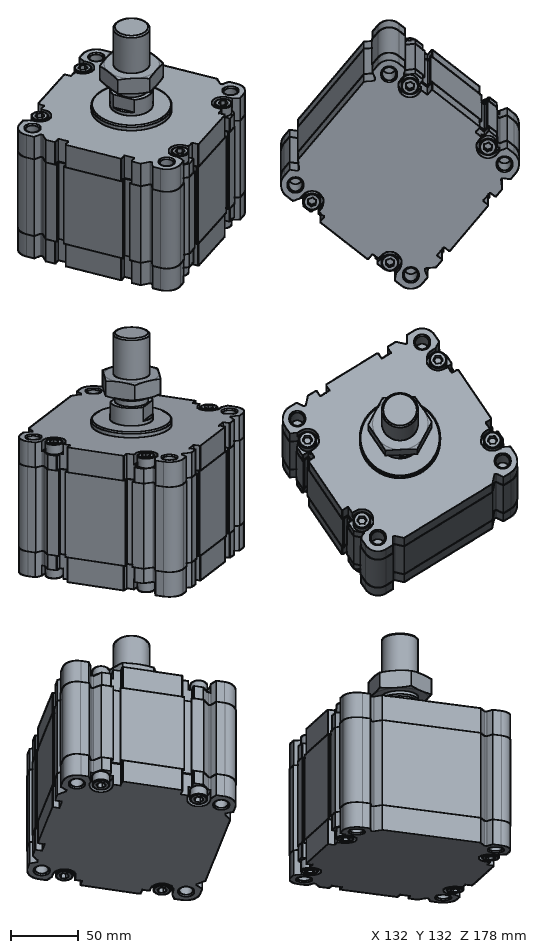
import cadquery as cq
import math


TOTAL_HEIGHT = 178.0
HOUSING_HEIGHT = 106.0
CAP_HEIGHT = 19.5
BOSS_TOP = 110.4

HOUSING_SIDE = 132.0
CORNER_RADIUS = 11.0
CAP_INSET = 0.2
NOTCH_START = 17.6
NOTCH_FLOOR_START = 20.6
NOTCH_FLOOR_END = 21.9
NOTCH_END = 27.0
NOTCH_DEPTH = 5.3
NOTCH_FILLET = 0.5

SLOT_OFFSET = 27.0
TUBE_SLOT_MOUTH = 5.5
TUBE_SLOT_WIDTH = 6.8
TUBE_SLOT_DEPTH = 4.5
TUBE_SLOT_LIP = 1.5
CAP_SLOT_WIDTH = 8.2
CAP_SLOT_DEPTH = 5.5
CAP_SLOT_CHAMFER = 0.5

SCREW_X = 57.5
SCREW_Y = 37.2
POCKET_DIAMETER = 17.0
POCKET_DEPTH = 8.0
SCREW_HEAD_DIAMETER = 13.0
SCREW_HEAD_CHAMFER = 0.7
HEX_SOCKET_FLATS = 6.0
HEX_SOCKET_DEPTH = 5.0
MOUNT_HOLE_OFFSET = 55.0
MOUNT_HOLE_DIAMETER = 10.1
MOUNT_HOLE_CHAMFER = 1.0

BOSS_DIAMETER = 60.0
BOSS_CHAMFER_HEIGHT = 1.2
BOSS_CHAMFER_WIDTH = 0.9

ROD_DIAMETER = 32.0
ROD_SHOULDER_TOP = 124.2
FLATS_BOTTOM = 113.2
FLATS_WIDTH = 26.9
NECK_DIAMETER = 25.0
THREAD_DIAMETER = 27.0
THREAD_START = 128.5
THREAD_CHAMFER = 1.2

NUT_BOTTOM = 132.3
NUT_HEIGHT = 13.5
NUT_FLATS = 41.0
NUT_CHAMFER_ANGLE = 15.0

HALF_SIDE = HOUSING_SIDE / 2
SIGNS = (1, -1)


def across_corners(flats):
    """Corner-to-corner size of a hexagon with the given width across flats."""
    return flats / math.cos(math.radians(30))


def pointed_hexagon(flats, height):
    """Hexagonal prism on Z = 0 with two corners on the Y axis."""
    prism = cq.Workplane("XY").polygon(6, across_corners(flats)).extrude(height)
    return prism.rotate((0, 0, 0), (0, 0, 1), 90)



def notch_points(inset):
    """One side notch as (distance from middle of side, distance from axis), in order along the side."""
    face = HALF_SIDE - inset
    floor = face - NOTCH_DEPTH
    return [
        (HALF_SIDE - NOTCH_END - inset, face),
        (HALF_SIDE - NOTCH_FLOOR_END - inset, floor),
        (HALF_SIDE - NOTCH_FLOOR_START + inset, floor),
        (HALF_SIDE - NOTCH_START + inset, face),
    ]


def notched_block(inset, height):
    """Square block with rounded corners and two notches near the ends of every side."""
    side = HOUSING_SIDE - 2 * inset
    block = cq.Workplane("XY").rect(side, side).extrude(height).edges("|Z").fillet(CORNER_RADIUS)
    notch = cq.Workplane("XY").polyline(notch_points(inset)).close().extrude(height)
    notch = notch.edges("|Z").edges("<Y").fillet(NOTCH_FILLET)
    for side_notch in (notch, notch.mirror("YZ")):
        for quarter in range(4):
            block = block.cut(side_notch.rotate((0, 0, 0), (0, 0, 1), 90 * quarter))
    return block


def tube_slot():
    """T-slot cutter opening toward +Y, standing on Z = 0."""
    half_mouth = TUBE_SLOT_MOUTH / 2
    half_width = TUBE_SLOT_WIDTH / 2
    lip = HALF_SIDE - TUBE_SLOT_LIP
    floor = HALF_SIDE - TUBE_SLOT_DEPTH
    outline = [
        (half_mouth, HALF_SIDE), (half_mouth, lip), (half_width, lip), (half_width, floor),
        (-half_width, floor), (-half_width, lip), (-half_mouth, lip), (-half_mouth, HALF_SIDE),
    ]
    return cq.Workplane("XY").polyline(outline).close().extrude(HOUSING_HEIGHT - 2 * CAP_HEIGHT)


def cap_slot():
    """Plain slot cutter with a chamfered mouth opening toward +Y, standing on Z = 0."""
    half_width = CAP_SLOT_WIDTH / 2
    half_mouth = half_width + CAP_SLOT_CHAMFER
    face = HALF_SIDE - CAP_INSET
    shoulder = face - CAP_SLOT_CHAMFER
    floor = HALF_SIDE - CAP_SLOT_DEPTH
    outline = [
        (half_mouth, face), (half_width, shoulder), (half_width, floor),
        (-half_width, floor), (-half_width, shoulder), (-half_mouth, face),
    ]
    return cq.Workplane("XY").polyline(outline).close().extrude(CAP_HEIGHT)


def cut_slots(block, slot):
    """Cut two slots each into the -Y, -X and +X sides; the +Y side stays plain."""
    for turn in (90, 180, 270):
        for sign in SIGNS:
            cutter = slot.translate((sign * SLOT_OFFSET, 0, 0)).rotate((0, 0, 0), (0, 0, 1), turn)
            block = block.cut(cutter)
    return block


def screw_pocket():
    """Round-ended pocket open toward +X, at the +X +Y screw of a cap."""
    floor = CAP_HEIGHT - POCKET_DEPTH
    bore = cq.Workplane("XY").circle(POCKET_DIAMETER / 2).extrude(POCKET_DEPTH)
    opening_length = HALF_SIDE - SCREW_X
    opening = cq.Workplane("XY").rect(opening_length, POCKET_DIAMETER).extrude(POCKET_DEPTH)
    opening = opening.translate((opening_length / 2, 0, 0))
    return bore.union(opening).translate((SCREW_X, SCREW_Y, floor))


def screw_head():
    """Socket head standing on the pocket floor of the +X +Y screw of a cap."""
    head = cq.Workplane("XY").circle(SCREW_HEAD_DIAMETER / 2).extrude(POCKET_DEPTH)
    head = head.faces(">Z").chamfer(SCREW_HEAD_CHAMFER)
    socket = pointed_hexagon(HEX_SOCKET_FLATS, HEX_SOCKET_DEPTH)
    head = head.cut(socket.translate((0, 0, POCKET_DEPTH - HEX_SOCKET_DEPTH)))
    return head.translate((SCREW_X, SCREW_Y, CAP_HEIGHT - POCKET_DEPTH))


def four_fold(shape):
    """The shape and its mirror images, one for each quadrant."""
    pair = [shape, shape.mirror("YZ")]
    return pair + [copy.mirror("XZ") for copy in pair]


def mount_hole():
    """Chamfered corner hole through a cap, in the +X +Y corner."""
    radius = MOUNT_HOLE_DIAMETER / 2
    profile = [
        (0, 0), (radius, 0), (radius, CAP_HEIGHT - MOUNT_HOLE_CHAMFER),
        (radius + MOUNT_HOLE_CHAMFER, CAP_HEIGHT), (0, CAP_HEIGHT),
    ]
    hole = cq.Workplane("XZ").polyline(profile).close().revolve(360, (0, 0, 0), (0, 1, 0))
    return hole.translate((MOUNT_HOLE_OFFSET, MOUNT_HOLE_OFFSET, 0))


def make_cap():
    """End cap with its outer face up, standing on Z = 0."""
    cap = cut_slots(notched_block(CAP_INSET, CAP_HEIGHT), cap_slot())
    for cutter in four_fold(screw_pocket()) + four_fold(mount_hole()):
        cap = cap.cut(cutter)
    for head in four_fold(screw_head()):
        cap = cap.union(head)
    return cap


def make_housing():
    tube = cut_slots(notched_block(0, HOUSING_HEIGHT - 2 * CAP_HEIGHT), tube_slot())
    cap = make_cap()
    top_cap = cap.translate((0, 0, HOUSING_HEIGHT - CAP_HEIGHT))
    bottom_cap = cap.mirror("XY").translate((0, 0, CAP_HEIGHT))
    boss = cq.Workplane("XY").circle(BOSS_DIAMETER / 2).extrude(BOSS_TOP - HOUSING_HEIGHT)
    top_edge = boss.faces(">Z").edges()
    boss = top_edge.chamfer(BOSS_CHAMFER_HEIGHT, BOSS_CHAMFER_WIDTH).translate((0, 0, HOUSING_HEIGHT))
    return tube.translate((0, 0, CAP_HEIGHT)).union(top_cap).union(bottom_cap).union(boss)



def make_rod():
    """Turned rod seated on the boss, with two wrench flats facing -Y and +Y."""
    rod_radius = ROD_DIAMETER / 2
    neck_radius = NECK_DIAMETER / 2
    thread_radius = THREAD_DIAMETER / 2
    profile = [
        (0, BOSS_TOP), (rod_radius, BOSS_TOP), (rod_radius, ROD_SHOULDER_TOP),
        (neck_radius, ROD_SHOULDER_TOP), (neck_radius, THREAD_START),
        (thread_radius, THREAD_START + THREAD_CHAMFER),
        (thread_radius, TOTAL_HEIGHT - THREAD_CHAMFER),
        (thread_radius - THREAD_CHAMFER, TOTAL_HEIGHT), (0, TOTAL_HEIGHT),
    ]
    rod = cq.Workplane("XZ").polyline(profile).close().revolve(360, (0, 0, 0), (0, 1, 0))
    flat_height = ROD_SHOULDER_TOP - FLATS_BOTTOM
    for sign in SIGNS:
        flat = cq.Workplane("XY").rect(ROD_DIAMETER, ROD_DIAMETER).extrude(flat_height)
        rod = rod.cut(flat.translate((0, sign * (FLATS_WIDTH + ROD_DIAMETER) / 2, FLATS_BOTTOM)))
    return rod



def make_nut():
    """Hexagon nut on the thread, its corners chamfered conically at both ends."""
    face_radius = NUT_FLATS / 2
    corner_radius = across_corners(NUT_FLATS) / 2
    corner_drop = (corner_radius - face_radius) * math.tan(math.radians(NUT_CHAMFER_ANGLE))
    profile = [
        (0, 0), (face_radius, 0), (corner_radius, corner_drop),
        (corner_radius, NUT_HEIGHT - corner_drop), (face_radius, NUT_HEIGHT), (0, NUT_HEIGHT),
    ]
    envelope = cq.Workplane("XZ").polyline(profile).close().revolve(360, (0, 0, 0), (0, 1, 0))
    bore = cq.Workplane("XY").circle(THREAD_DIAMETER / 2).extrude(NUT_HEIGHT)
    nut = pointed_hexagon(NUT_FLATS, NUT_HEIGHT).intersect(envelope).cut(bore)
    return nut.translate((0, 0, NUT_BOTTOM))


housing = make_housing()
rod = make_rod()
nut = make_nut()

result = cq.Compound.makeCompound([housing.solids().val(), rod.solids().val(), nut.solids().val()])